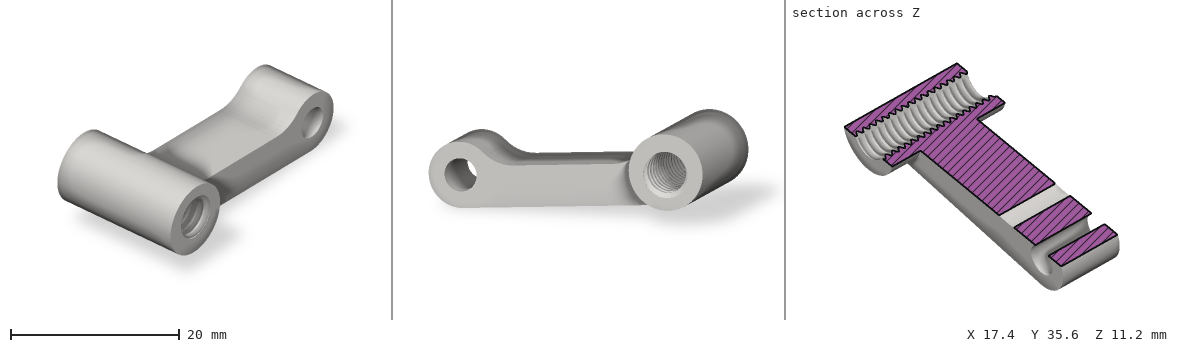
import cadquery as cq
import math

barrel_length = 17.4
barrel_radius = 9.22 / 2
bore_radius = 5.02 / 2

thread_pitch = 1.0
thread_major_radius = 6.15 / 2
groove_mouth_width = 0.75 * thread_pitch
groove_root_width = thread_pitch / 8
spiral_points = 6

overall_length = 35.6
overall_height = 11.18
arm_width = barrel_length / 2
arm_thickness = 5.02
eye_radius = 4.0
eye_hole_radius = 4.0 / 2
fillet_radius = 5.02

eye_y = overall_length - barrel_radius - eye_radius
eye_z = barrel_radius + eye_radius - overall_height
center_distance = math.hypot(eye_y, eye_z)

eye_drop = barrel_radius - eye_radius
flat_length = math.sqrt(center_distance**2 - eye_drop**2)
arm_tilt = math.degrees(math.atan2(-eye_z, eye_y) - math.asin(eye_drop / center_distance))
arm_bottom = -barrel_radius
arm_top = arm_bottom + arm_thickness


def fillet_points(center_u, center_v, round_radius, direction):
    """Contact on the round, middle of the arc, and contact on the arm's top face."""
    arc_v = arm_top + fillet_radius
    rise = arc_v - center_v
    reach = math.sqrt((round_radius + fillet_radius) ** 2 - rise**2)
    arc_u = center_u + direction * reach
    share = round_radius / (round_radius + fillet_radius)
    round_contact = (center_u + direction * reach * share, center_v + rise * share)
    top_contact = (arc_u, arm_top)
    half_angle = math.atan2(reach, rise) / 2
    middle = (
        arc_u - direction * fillet_radius * math.sin(half_angle),
        arc_v - fillet_radius * math.cos(half_angle),
    )
    return round_contact, middle, top_contact


def x_cylinder(radius, length, y=0, z=0):
    return cq.Workplane("YZ").center(y, z).circle(radius).extrude(length / 2, both=True)


def make_arm():
    eye_v = -eye_drop
    barrel_contact, barrel_middle, barrel_top = fillet_points(0, 0, barrel_radius, 1)
    eye_contact, eye_middle, eye_top = fillet_points(flat_length, eye_v, eye_radius, -1)
    arm = (
        cq.Workplane("YZ")
        .moveTo(0, arm_bottom)
        .lineTo(0, 0)
        .lineTo(*barrel_contact)
        .threePointArc(barrel_middle, barrel_top)
        .lineTo(*eye_top)
        .threePointArc(eye_middle, eye_contact)
        .lineTo(flat_length, eye_v)
        .lineTo(flat_length, arm_bottom)
        .close()
        .extrude(arm_width / 2, both=True)
    )
    arm = arm.union(x_cylinder(eye_radius, arm_width, flat_length, eye_v))
    return arm.rotate((0, 0, 0), (1, 0, 0), -arm_tilt)


def polar_point(radius, angle):
    return (radius * math.cos(angle), radius * math.sin(angle))


def make_thread_turn():
    """One turn of the threaded bore as a solid from X = 0, its groove root starting at -Z.

    A slice across a thread is a root arc and a crest arc joined by two spirals.
    Twisting that slice one full turn over a pitch makes the thread.
    """
    root_angle = math.pi * groove_root_width / thread_pitch
    mouth_angle = math.pi * groove_mouth_width / thread_pitch

    def falling_spiral(share):
        radius = thread_major_radius + share * (bore_radius - thread_major_radius)
        return polar_point(radius, root_angle + share * (mouth_angle - root_angle))

    def rising_spiral(share):
        y, z = falling_spiral(1 - share)
        return (y, -z)

    turn = (
        cq.Workplane("XY")
        .moveTo(*polar_point(thread_major_radius, -root_angle))
        .threePointArc((thread_major_radius, 0), falling_spiral(0))
        .parametricCurve(falling_spiral, N=spiral_points, makeWire=False)
        .threePointArc((-bore_radius, 0), rising_spiral(0))
        .parametricCurve(rising_spiral, N=spiral_points, makeWire=False)
        .wire()
        .twistExtrude(thread_pitch, 360)
    )
    return turn.rotate((0, 0, 0), (0, 1, 0), 90)


body = x_cylinder(barrel_radius, barrel_length).union(make_arm())
body = body.cut(x_cylinder(eye_hole_radius, arm_width, eye_y, eye_z))

thread_turn = make_thread_turn()
for index in range(math.ceil(barrel_length / thread_pitch)):
    body = body.cut(thread_turn.translate((index * thread_pitch - barrel_length / 2, 0, 0)))

result = body.solids()